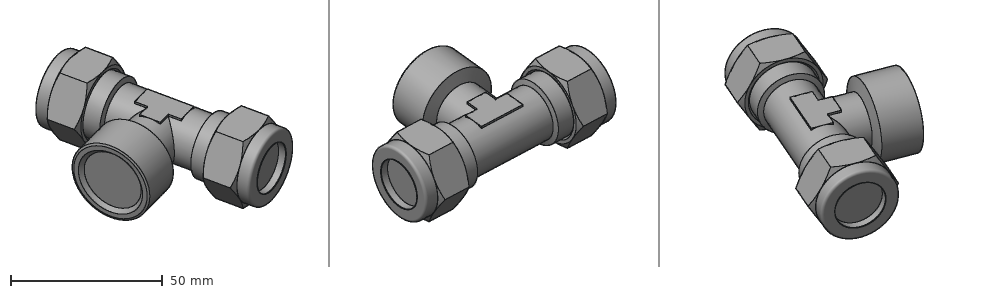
import cadquery as cq
import math

overall_length = 83.0
half_length = overall_length / 2
body_diameter = 20.0
body_radius = body_diameter / 2

shoulder_angle = math.radians(15)

collar_diameter = 24.0
collar_radius = collar_diameter / 2
collar_inner_x = 17.0

nut_across_flats = 28.0
nut_corner_radius = nut_across_flats / math.sqrt(3)
nut_inner_x = 23.6
nut_length = 12.95
nut_outer_x = nut_inner_x + nut_length
nut_chamfer_angle = math.radians(30)
countersink_radius = 12.7
countersink_depth = countersink_radius - collar_radius
rim_diameter = 27.8
rim_fillet = 1.0
socket_diameter = 18.0
socket_depth = 2.9
socket_lip_depth = 0.25
socket_lip_diameter = 18.3

port_diameter = 30.0
port_radius = port_diameter / 2
port_end = 34.0
port_neck_end = 17.4
port_shoulder = port_neck_end + (port_radius - body_radius) * math.tan(shoulder_angle)
port_edge_length = 0.3
port_edge_width = 0.8
bore_mouth_radius = 12.4
bore_floor_radius = 10.95
bore_depth = 1.4

pad_length = 18.0
pad_width = 8.0
pad_stem_end = 9.05


def revolve_about_x(profile):
    """Turn an outline of (x, radius) points around the X axis."""
    return cq.Workplane("XY").polyline(profile).close().revolve(360, (0, 0, 0), (1, 0, 0))


def make_nut_hexagon():
    """Chamfered hexagon with flats facing up and down and a countersunk inner face."""
    flat_radius = nut_across_flats / 2
    chamfer_length = (nut_corner_radius - flat_radius) * math.tan(nut_chamfer_angle)
    hexagon = (
        cq.Workplane("YZ", origin=(nut_inner_x, 0, 0))
        .polygon(6, 2 * nut_corner_radius)
        .extrude(nut_length)
    )
    chamfer_envelope = revolve_about_x([
        (nut_inner_x, 0),
        (nut_inner_x, flat_radius),
        (nut_inner_x + chamfer_length, nut_corner_radius),
        (nut_outer_x - chamfer_length, nut_corner_radius),
        (nut_outer_x, flat_radius),
        (nut_outer_x, 0),
    ])
    countersink = revolve_about_x([
        (nut_inner_x, 0),
        (nut_inner_x, countersink_radius),
        (nut_inner_x + countersink_depth, collar_radius),
        (nut_inner_x + countersink_depth, 0),
    ])
    return hexagon.intersect(chamfer_envelope).cut(countersink)


def make_run_end():
    """Collar, nut, rim and tube socket on the +X side."""
    shoulder_length = (collar_radius - body_radius) * math.tan(shoulder_angle)
    collar = revolve_about_x([
        (collar_inner_x, 0),
        (collar_inner_x, body_radius),
        (collar_inner_x + shoulder_length, collar_radius),
        (nut_outer_x, collar_radius),
        (nut_outer_x, 0),
    ])
    rim_inner_x = nut_inner_x + countersink_depth
    rim = (
        cq.Workplane("YZ", origin=(rim_inner_x, 0, 0))
        .circle(rim_diameter / 2)
        .extrude(half_length - rim_inner_x)
        .faces(">X").edges().fillet(rim_fillet)
    )
    socket = (
        cq.Workplane("YZ", origin=(half_length - socket_depth, 0, 0))
        .circle(socket_diameter / 2)
        .extrude(socket_depth)
    )
    socket_lip = (
        cq.Workplane("YZ", origin=(half_length - socket_lip_depth, 0, 0))
        .circle(socket_lip_diameter / 2)
        .extrude(socket_lip_depth)
    )
    return collar.union(make_nut_hexagon()).union(rim).cut(socket).cut(socket_lip)


def make_body():
    """Tube between the two nuts."""
    return (
        cq.Workplane("YZ", origin=(-nut_inner_x, 0, 0))
        .circle(body_radius)
        .extrude(2 * nut_inner_x)
    )


def make_branch():
    """Neck and female port with a tapered, shallow bore."""
    profile = [
        (0, 0),
        (body_radius, 0),
        (body_radius, -port_neck_end),
        (port_radius, -port_shoulder),
        (port_radius, -port_end + port_edge_length),
        (port_radius - port_edge_width, -port_end),
        (bore_mouth_radius, -port_end),
        (bore_floor_radius, -port_end + bore_depth),
        (0, -port_end + bore_depth),
    ]
    return cq.Workplane("XY").polyline(profile).close().revolve(360, (0, 0, 0), (0, 1, 0))


def make_pad():
    """T-shaped flat pad standing on the junction of body and branch."""
    bar = cq.Workplane("XY").rect(pad_length, pad_width).extrude(body_radius)
    stem = (
        cq.Workplane("XY")
        .center(0, -pad_stem_end / 2)
        .rect(pad_width, pad_stem_end)
        .extrude(body_radius)
    )
    return bar.union(stem)


run_end = make_run_end()
result = (
    make_body()
    .union(make_branch())
    .union(make_pad())
    .union(run_end)
    .union(run_end.mirror("YZ"))
)